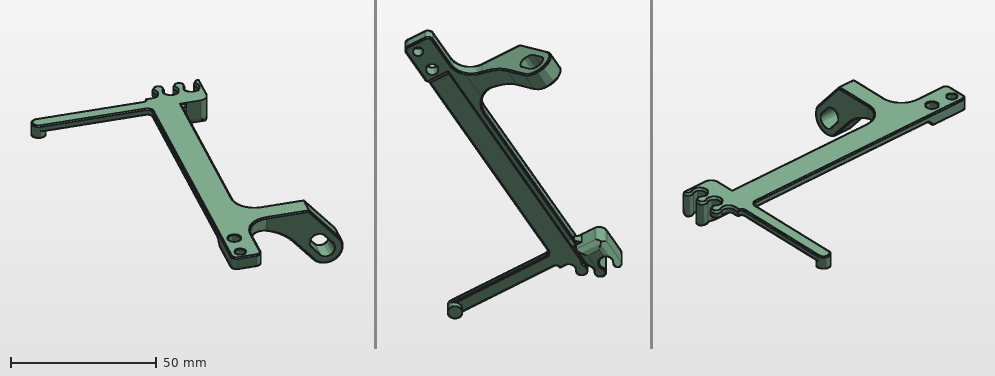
import cadquery as cq
import math


length = 112.8
bar_width = 10.8
bar_depth = 5.0
end_radius = 2.0
edge_chamfer = 0.5

thin_depth = 2.7
rib_front = 8.3
rib_root_chamfer = 0.6
ramp_end = 97.1
ramp_run = bar_depth - thin_depth

screw_holes = [(100.4, 4.4, 4.3), (109.2, 4.0, 3.5)]
hole_chamfer = 0.25

arm_left = 8.2
arm_width = 5.1
arm_right = arm_left + arm_width
arm_length = 42.2
arm_left_root_radius = 1.5
arm_right_root_radius = 1.8
arm_middle = arm_left + arm_width / 2
arm_tip_y = -arm_length + arm_width / 2

fork_back = 20.9
fork_depth = 10.0
slot_pitch = 7.5
slot_count = 3
slot_x = 4.4
tip_radius = 2.0
slot_radius = math.hypot(slot_x - tip_radius, slot_pitch / 2) - tip_radius
slot_right = slot_x + slot_radius
lead_width = 0.5
lead_depth = 1.0

foot_radius = 3.0
foot_front = 10.3
foot_middle_z = -(bar_depth + fork_depth) / 2
foot_sweep = math.acos(1 - (fork_depth - bar_depth) / 2 / foot_radius)
foot_reach = foot_radius * math.sin(foot_sweep)

gusset_size = 1.8

lug_left = 83.7
lug_width = 7.5
lug_right = lug_left + lug_width
lug_root_radius = 8.0
lug_radius = 6.0
lug_y = 46.2 - lug_radius
lug_z = -22.7 + lug_radius
lug_angle = math.radians(50)
lug_under_radius = 20.0
lug_slot_radius = 3.0
lug_slot_length = 4.6

overlap = 1.1
tolerance = 0.01
half_root = math.sqrt(0.5)


def polar(center, radius, angle):
    """Point on a circle; the angle is in radians from the first axis."""
    return (center[0] + radius * math.cos(angle), center[1] + radius * math.sin(angle))


def make_bar():
    """Straight bar with rounded right corners."""
    bar = cq.Workplane("XY").box(length - arm_left, bar_width, bar_depth, centered=False)
    bar = bar.translate((arm_left, 0, -bar_depth))
    return bar.edges("|Z and >X").fillet(end_radius)


def make_arm():
    """Arm toward -Y with filleted roots, ending flat at the middle of its foot."""
    left_r = arm_left_root_radius
    right_r = arm_right_root_radius
    left_bend = left_r * (1 - half_root)
    right_bend = right_r * (1 - half_root)
    return (
        cq.Workplane("XY")
        .moveTo(arm_left - left_r, 0)
        .threePointArc((arm_left - left_bend, -left_bend), (arm_left, -left_r))
        .lineTo(arm_left, arm_tip_y)
        .lineTo(arm_right, arm_tip_y)
        .lineTo(arm_right, -right_r)
        .threePointArc((arm_right + right_bend, -right_bend), (arm_right + right_r, 0))
        .lineTo(arm_right + right_r, overlap)
        .lineTo(arm_left, overlap)
        .lineTo(arm_left, 0)
        .close()
        .extrude(-bar_depth)
    )


def make_arm_foot():
    """Round pin that forms the arm's tip, as deep as the bar."""
    pin = cq.Workplane("XY", origin=(arm_middle, arm_tip_y, 0)).circle(arm_width / 2).extrude(-bar_depth)
    return pin.faces(">Z").chamfer(edge_chamfer)


def make_lug():
    """Cranked lug: a side profile cut to a plan that flares into the bar."""
    across = math.pi / 2 - lug_angle
    end = (lug_y, lug_z)
    upper = polar(end, lug_radius, across)
    lower = polar(end, lug_radius, across + math.pi)
    tip = polar(end, lug_radius, -lug_angle)
    crest_y = upper[0] + upper[1] / math.tan(lug_angle)

    bend_z = -bar_depth - lug_under_radius * (1 - math.cos(lug_angle))
    bend_y = lower[0] - (bend_z - lower[1]) / math.tan(lug_angle)
    arc_start_y = bend_y - lug_under_radius * math.sin(lug_angle)
    arc_center = (arc_start_y, -bar_depth - lug_under_radius)
    arc_middle = polar(arc_center, lug_under_radius, math.pi / 2 - lug_angle / 2)
    root_y = bar_width - overlap
    side = (
        cq.Workplane("YZ")
        .moveTo(root_y, 0)
        .lineTo(crest_y, 0)
        .lineTo(*upper)
        .threePointArc(tip, lower)
        .lineTo(bend_y, bend_z)
        .threePointArc(arc_middle, (arc_start_y, -bar_depth))
        .lineTo(root_y, -bar_depth)
        .close()
        .extrude(length)
    )
    r = lug_root_radius
    bend = r * (1 - half_root)
    far_y = lug_y + lug_radius + overlap
    plan = (
        cq.Workplane("XY")
        .moveTo(lug_left - r, root_y)
        .lineTo(lug_left - r, bar_width)
        .threePointArc((lug_left - bend, bar_width + bend), (lug_left, bar_width + r))
        .lineTo(lug_left, far_y)
        .lineTo(lug_right, far_y)
        .lineTo(lug_right, bar_width + r)
        .threePointArc((lug_right + bend, bar_width + bend), (lug_right + r, bar_width))
        .lineTo(lug_right + r, root_y)
        .close()
        .extrude(lug_z - lug_radius - overlap)
    )
    return side.intersect(plan)


def make_recess():
    """Cutter that leaves a rib along the bar's back and ends in a 45 degree ramp."""
    below = -bar_depth - overlap
    cutter = (
        cq.Workplane("XZ", origin=(0, rib_front, 0))
        .moveTo(0, -thin_depth)
        .lineTo(ramp_end - ramp_run, -thin_depth)
        .lineTo(ramp_end, -bar_depth)
        .lineTo(ramp_end, below)
        .lineTo(0, below)
        .close()
        .extrude(rib_front + arm_length + overlap)
    )
    return cutter.faces(">Z").edges(">Y").chamfer(rib_root_chamfer)


def has_chamfer(edge):
    """True for the outer rims of the bar, arm and lug."""
    box = edge.BoundingBox()
    flat_x = box.xlen < tolerance
    flat_y = box.ylen < tolerance
    flat_z = box.zlen < tolerance
    upright = flat_x and flat_y
    across_lug = flat_y and flat_z and box.ymin > bar_width + tolerance
    across_arm = flat_y and box.ymax < arm_tip_y + tolerance
    fork_joint = box.xmax < arm_left + tolerance and box.ymin > -tolerance
    in_rib_root = box.ymin > rib_front - rib_root_chamfer - tolerance and box.ymax < rib_front + tolerance
    recess_corner = in_rib_root and box.zmax > -bar_depth + tolerance
    across_ramp = flat_x and box.ymin < tolerance < box.ymax and box.xmin < length - tolerance
    return not (
        upright or across_lug or across_arm or fork_joint or recess_corner or across_ramp
    )


def make_fork_blank():
    """Fork plan at full depth, with a lead-in around the tips and slots."""
    lean = math.atan2(slot_pitch / 2, slot_x - tip_radius)
    tips = [(tip_radius, fork_back - i * slot_pitch) for i in range(slot_count)]
    slots = [(slot_x, y - slot_pitch / 2) for x, y in tips]

    outline = cq.Workplane("XY").moveTo(0, fork_back)
    for i in range(slot_count):
        tip_side = math.pi if i > 0 else math.pi * 1.25
        outline = outline.threePointArc(polar(tips[i], tip_radius, tip_side), polar(tips[i], tip_radius, -lean))
        if i < slot_count - 1:
            slot_end = polar(tips[i + 1], tip_radius, lean)
            outline = outline.threePointArc((slot_right, slots[i][1]), slot_end)
        else:
            outline = outline.threePointArc(polar(slots[i], slot_radius, math.pi / 4), (slot_right, slots[i][1]))
    fork = (
        outline.lineTo(slot_right, 0)
        .lineTo(arm_right, 0)
        .lineTo(arm_right, fork_back)
        .close()
        .extrude(-fork_depth)
    )
    fork = fork.edges("|Z").edges(">(1, 1, 0)").fillet(foot_radius)
    fork = fork.faces(">Z").edges(slot_edges).chamfer(lead_width, lead_depth)
    return fork.faces("<Z").edges(slot_edges).chamfer(edge_chamfer)


slot_edges = cq.selectors.BoxSelector(
    (-overlap, overlap, -fork_depth - overlap),
    (slot_right + tolerance, fork_back - tolerance, overlap),
)


def trim_fork(fork):
    """Cut the fork to its underside: thin in front, deep at the back, rounded below."""
    r = foot_radius
    quarter = math.pi / 4
    side_concave = (foot_front - foot_reach, -bar_depth - r)
    rib_edge_y = rib_front + edge_chamfer
    start_angle = math.acos((rib_edge_y - side_concave[0]) / r)
    end_angle = math.pi / 2 - foot_sweep
    side = (
        cq.Workplane("YZ")
        .lineTo(0, -thin_depth)
        .lineTo(rib_front - rib_root_chamfer, -thin_depth)
        .lineTo(rib_front, -thin_depth - rib_root_chamfer)
        .lineTo(rib_front, edge_chamfer - bar_depth)
        .lineTo(*polar(side_concave, r, start_angle))
        .threePointArc(
            polar(side_concave, r, (start_angle + end_angle) / 2),
            (foot_front, foot_middle_z),
        )
        .threePointArc(
            polar((foot_front + foot_reach, r - fork_depth), r, -math.pi / 2 - foot_sweep / 2),
            (foot_front + foot_reach, -fork_depth),
        )
        .lineTo(fork_back - r, -fork_depth)
        .threePointArc(polar((fork_back - r, r - fork_depth), r, -quarter), (fork_back, r - fork_depth))
        .lineTo(fork_back, 0)
        .close()
        .extrude(arm_right + foot_reach)
    )
    front_concave = (arm_right + foot_reach, -bar_depth - r)
    front_convex = (arm_right - foot_reach, r - fork_depth)
    front = (
        cq.Workplane("XZ", origin=(0, fork_back, 0))
        .lineTo(0, -fork_depth)
        .lineTo(front_convex[0], -fork_depth)
        .threePointArc(
            polar(front_convex, r, foot_sweep / 2 - math.pi / 2),
            (arm_right, foot_middle_z),
        )
        .threePointArc(
            polar(front_concave, r, math.pi / 2 + foot_sweep / 2),
            (front_concave[0], -bar_depth),
        )
        .lineTo(front_concave[0], 0)
        .close()
        .extrude(fork_back)
    )
    rib_length = foot_reach + overlap
    under_rib = cq.Workplane("XY").box(
        rib_length, bar_width - rib_front - edge_chamfer, fork_depth - bar_depth, centered=False
    )
    under_rib = under_rib.translate((arm_right - overlap, rib_front, -fork_depth))
    return fork.union(under_rib).intersect(side).intersect(front)


def make_gusset():
    """Triangular web in the corner behind the bar, sloping away from the fork."""
    top = -edge_chamfer
    slope = (
        cq.Workplane("XZ", origin=(0, bar_width + gusset_size, 0))
        .moveTo(arm_right, top)
        .lineTo(arm_right + gusset_size, top - gusset_size)
        .lineTo(arm_right + gusset_size, -bar_depth)
        .lineTo(arm_right, -bar_depth)
        .close()
        .extrude(gusset_size)
    )
    plan = (
        cq.Workplane("XY")
        .moveTo(arm_right, bar_width)
        .lineTo(arm_right + gusset_size, bar_width)
        .lineTo(arm_right, bar_width + gusset_size)
        .close()
        .extrude(-bar_depth)
    )
    return slope.intersect(plan)


def make_lug_slot():
    """Cutter for the obround hole through the lug."""
    half = lug_slot_length / 2
    middle_y = lug_y - half * math.cos(lug_angle)
    middle_z = lug_z + half * math.sin(lug_angle)
    return (
        cq.Workplane("YZ", origin=(lug_left - overlap, middle_y, middle_z))
        .slot2D(lug_slot_length + 2 * lug_slot_radius, 2 * lug_slot_radius, -math.degrees(lug_angle))
        .extrude(lug_width + 2 * overlap)
    )


def make_screw_hole(x, y, diameter):
    """Cutter for a through hole with a small chamfer at the top."""
    top = cq.Workplane("XY", origin=(x, y, 0))
    hole = top.circle(diameter / 2).extrude(-bar_depth)
    rim = top.circle(diameter / 2 + hole_chamfer).extrude(-hole_chamfer, taper=45)
    return hole.union(rim)


body = make_bar().union(make_arm()).union(make_lug()).cut(make_recess())
body = body.newObject([edge for edge in body.edges().vals() if has_chamfer(edge)]).chamfer(edge_chamfer)
body = body.union(trim_fork(make_fork_blank())).union(make_gusset()).union(make_arm_foot())
body = body.cut(make_lug_slot())
for x, y, diameter in screw_holes:
    body = body.cut(make_screw_hole(x, y, diameter))

result = body.clean()